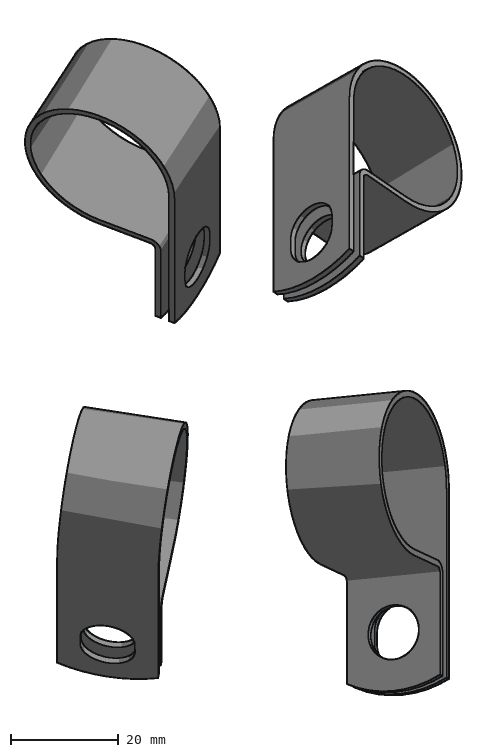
import cadquery as cq
import math

total_height = 53.6
loop_diameter = 31.0
width = 19.1
thickness = 1.2
leg_gap = 1.65
bend_inner_radius = 1.05
hole_diameter = 10.35
slot_length = 12.65
hole_height = 11.15
tip_rise = 2.2

outer_radius = loop_diameter / 2
inner_radius = outer_radius - thickness
bottom = outer_radius - total_height
short_leg_right = inner_radius - leg_gap
short_leg_left = short_leg_right - thickness
gap_middle = inner_radius - leg_gap / 2
hole_z = bottom + hole_height
bend_outer_radius = bend_inner_radius + thickness
bend_x = short_leg_left - bend_inner_radius
bend_z = -outer_radius - bend_inner_radius
diagonal = math.sqrt(0.5)


def make_strap():
    """Bent strip: long leg, three-quarter loop, flat shelf, bend and short leg."""
    return (
        cq.Workplane("XZ")
        .moveTo(outer_radius, bottom)
        .lineTo(outer_radius, 0)
        .threePointArc((-outer_radius * diagonal, outer_radius * diagonal), (0, -outer_radius))
        .lineTo(bend_x, -outer_radius)
        .threePointArc(
            (bend_x + bend_inner_radius * diagonal, bend_z + bend_inner_radius * diagonal),
            (short_leg_left, bend_z),
        )
        .lineTo(short_leg_left, bottom)
        .lineTo(short_leg_right, bottom)
        .lineTo(short_leg_right, bend_z)
        .threePointArc(
            (bend_x + bend_outer_radius * diagonal, bend_z + bend_outer_radius * diagonal),
            (bend_x, -inner_radius),
        )
        .lineTo(0, -inner_radius)
        .threePointArc((-inner_radius * diagonal, inner_radius * diagonal), (inner_radius, 0))
        .lineTo(inner_radius, bottom)
        .close()
        .extrude(width / 2, both=True)
    )


def make_side_outline():
    """Block with a rounded lower end, used to trim the leg tips."""
    return (
        cq.Workplane("YZ")
        .moveTo(-width / 2, outer_radius)
        .lineTo(-width / 2, bottom + tip_rise)
        .threePointArc((0, bottom), (width / 2, bottom + tip_rise))
        .lineTo(width / 2, outer_radius)
        .close()
        .extrude(loop_diameter, both=True)
    )


def make_round_hole():
    """Cylinder along X for the short leg, ending inside the gap between the legs."""
    return (
        cq.Workplane("YZ", origin=(0, 0, hole_z))
        .circle(hole_diameter / 2)
        .extrude(gap_middle)
    )


def make_slot():
    """Upright oblong cutter for the long leg, as wide as the round hole."""
    return (
        cq.Workplane("YZ", origin=(gap_middle, 0, hole_z))
        .slot2D(slot_length, hole_diameter, 90)
        .extrude(loop_diameter)
    )


result = make_strap().intersect(make_side_outline()).cut(make_round_hole()).cut(make_slot())